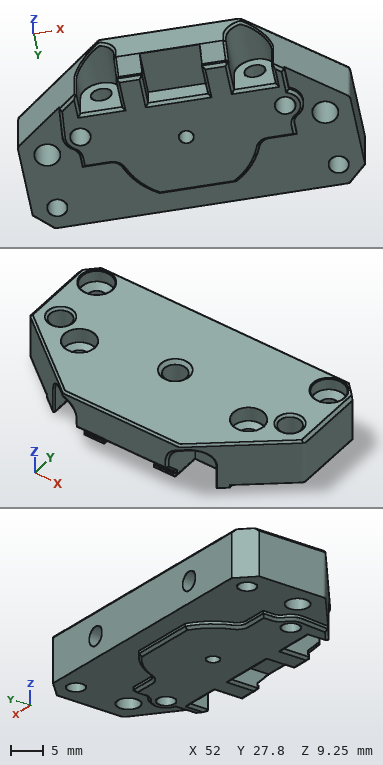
import cadquery as cq
import math

body_length = 52.0
body_height = 8.3
back_y = 13.55
front_y = -14.25
shoulder_y = -2.2
front_edge_length = 22.05
back_corner_cut = 3.0
vertical_edge_radius = 1.0
front_top_chamfer = 0.35
side_top_chamfer = 0.5

pad_height = 0.95
pad_chamfer = 0.45
pad_disc_radius = 11.45
pad_back_y = 9.8
pad_front_y = -12.2
wing_half_width = 16.75
wing_back_y = 2.85
wing_fillet = 1.75
wing_boss_radius = 2.8
left_flank_x = 18.35
right_flank_x = 17.05

pocket_x = 12.0
pocket_width = 6.5
pocket_axis_z = 3.8
pocket_depth = 7.3
pocket_mouth_chamfer = 0.39
cross_hole_diameter = 3.3

relief_height = 2.55
relief_step_height = 0.3
slot_width = 9.35
slot_height = 2.5
slot_depth = 7.3

corner_hole_x = 22.0
corner_hole_y = 9.9
corner_hole_diameter = 3.1
corner_head_depth = 2.25
corner_rim_chamfer = 0.15
screw_hole_x = 16.0
screw_hole_y = -2.95
screw_hole_diameter = 3.15
screw_head_depth = 2.7
head_diameter = 5.7
corner_cone_height = 0.8
screw_cone_height = 0.5
center_cone_height = 0.9
dowel_hole_x = 21.75
dowel_hole_diameter = 4.0
dowel_rim_chamfer = 0.4
center_hole_diameter = 2.3
center_bore_diameter = 4.1
center_bore_depth = 4.15
center_rim_chamfer = 0.6

edge_margin = 0.25

half_length = body_length / 2
half_front = front_edge_length / 2
flank_slope = (shoulder_y - front_y) / (half_length - half_front)
pad_bottom_z = -pad_height


def flank_y(x):
    """Y of the oblique front flank at a given X."""
    return shoulder_y - (half_length - abs(x)) * flank_slope


def box_between(x_range, y_range, z_range):
    """Axis-aligned box given by its limits."""
    size = [high - low for low, high in (x_range, y_range, z_range)]
    low_corner = (x_range[0], y_range[0], z_range[0])
    return cq.Workplane("XY").box(*size, centered=False).translate(low_corner)


def make_body():
    outline = [
        (-half_length, back_y),
        (-half_length, shoulder_y),
        (-half_front, front_y),
        (half_front, front_y),
        (half_length, shoulder_y),
        (half_length, back_y),
    ]
    body = cq.Workplane("XY").polyline(outline).close().extrude(body_height)
    body = body.edges("|Z and (not >Y)").fillet(vertical_edge_radius)
    return body.faces(">Z").edges().chamfer(front_top_chamfer)


def top_edge_bevel(workplane, edge_position, inward):
    """Triangular prism that bevels a long top edge of the body."""
    return (
        cq.Workplane(workplane)
        .moveTo(edge_position, body_height)
        .lineTo(edge_position + inward * side_top_chamfer, body_height)
        .lineTo(edge_position, body_height - side_top_chamfer)
        .close()
        .extrude(body_length, both=True)
    )


def corner_cut(side):
    return (
        cq.Workplane("XY")
        .moveTo(side * half_length, back_y)
        .lineTo(side * (half_length - back_corner_cut), back_y)
        .lineTo(side * half_length, back_y - back_corner_cut)
        .close()
        .extrude(body_height)
    )


def make_pad_disc():
    disc = cq.Workplane("XY").circle(pad_disc_radius).extrude(-pad_height)
    return disc.intersect(box_between(
        (-pad_disc_radius, pad_disc_radius), (pad_front_y, pad_back_y), (-pad_height, 0)
    ))


def left_flank_tangent():
    """Point where a line from the left flank end touches the outside of the screw boss."""
    to_x = left_flank_x - screw_hole_x
    to_y = flank_y(left_flank_x) - screw_hole_y
    distance = math.hypot(to_x, to_y)
    angle = math.atan2(to_y, to_x) + math.acos(wing_boss_radius / distance)
    return (
        screw_hole_x + wing_boss_radius * math.cos(angle),
        screw_hole_y + wing_boss_radius * math.sin(angle),
    )


def make_wing(side, flank_x, boss_point):
    """Half of the front wing; its outer front end lies flush with the oblique flank of the body."""
    front_corner_x = half_front + (pad_front_y - front_y) / flank_slope
    half_outline = [
        (0, wing_back_y),
        (wing_half_width, wing_back_y),
        (wing_half_width, screw_hole_y),
        boss_point,
        (flank_x, flank_y(flank_x)),
        (front_corner_x, pad_front_y),
        (0, pad_front_y),
    ]
    points = [(side * x, y) for x, y in half_outline]
    wing = cq.Workplane("XY").polyline(points).close().extrude(-pad_height)
    boss = cq.Workplane("XY").center(side * screw_hole_x, screw_hole_y)
    return wing.union(boss.circle(wing_boss_radius).extrude(-pad_height))


def make_pad():
    right_wing = make_wing(1, right_flank_x, (right_flank_x, screw_hole_y))
    left_wing = make_wing(-1, left_flank_x, left_flank_tangent())
    pad = make_pad_disc().union(left_wing).union(right_wing).clean()
    disc_corner_x = math.sqrt(pad_disc_radius**2 - wing_back_y**2)
    boss_reach = math.sqrt(wing_boss_radius**2 - (wing_half_width - screw_hole_x) ** 2)
    inner_corners = [(disc_corner_x, wing_back_y), (wing_half_width, screw_hole_y + boss_reach)]
    for x, y in inner_corners:
        for side in (-1, 1):
            corner = cq.selectors.NearestToPointSelector((side * x, y, -pad_height / 2))
            pad = pad.edges("|Z").edges(corner).fillet(wing_fillet)
    return pad


def arched_pocket(side):
    rectangle = box_between(
        (-pocket_width / 2, pocket_width / 2), (front_y, front_y + pocket_depth), (-pad_height, pocket_axis_z)
    )
    arch = (
        cq.Workplane("XZ", origin=(0, front_y, pocket_axis_z))
        .circle(pocket_width / 2)
        .extrude(-pocket_depth)
    )
    return rectangle.union(arch).translate((side * pocket_x, 0, 0))


def cross_hole(side):
    return (
        cq.Workplane("XZ", origin=(side * pocket_x, front_y, pocket_axis_z))
        .circle(cross_hole_diameter / 2)
        .extrude(front_y - back_y)
    )


def front_relief():
    """Sloped undercut between the two pockets, ending in a low step in front of the pad."""
    step_y = front_y + relief_height - relief_step_height
    return (
        cq.Workplane("YZ")
        .polyline([
            (front_y, 0),
            (front_y, relief_height),
            (step_y, relief_step_height),
            (step_y, 0),
        ])
        .close()
        .extrude(pocket_x, both=True)
    )


def headed_hole(x, y, diameter, bore_diameter, bore_depth, cone_height):
    """Through hole under a wider bore, joined by a conical floor."""
    radius = diameter / 2
    bore_radius = bore_diameter / 2
    bore_floor = body_height - bore_depth
    half_profile = [
        (0, pad_bottom_z),
        (radius, pad_bottom_z),
        (radius, bore_floor - cone_height),
        (bore_radius, bore_floor),
        (bore_radius, body_height),
        (0, body_height),
    ]
    hole = cq.Workplane("XZ").polyline(half_profile).close().revolve(360, (0, 0, 0), (0, 1, 0))
    return hole.translate((x, y, 0))


def plain_hole(x, y, diameter):
    through = cq.Workplane("XY", origin=(x, y, pad_bottom_z))
    return through.circle(diameter / 2).extrude(pad_height + body_height)


def rim_bevel(x, y, diameter, bevel):
    """45 degree cone that breaks the top rim of a hole."""
    top_radius = diameter / 2 + bevel
    cone = cq.Solid.makeCone(diameter / 2, top_radius, bevel, pnt=cq.Vector(x, y, body_height - bevel))
    return cq.Workplane(cone)


def bevel_pocket_mouth(body, side):
    """Bevel the edges where a pocket breaks through the front and flank faces."""
    reach = pocket_width / 2 + edge_margin
    region = cq.selectors.BoxSelector(
        (side * pocket_x - reach, front_y - edge_margin, 0),
        (side * pocket_x + reach, flank_y(pocket_x + reach) + edge_margin, pocket_axis_z + pocket_width / 2),
    )
    return body.edges(region).edges("not |Y").chamfer(pocket_mouth_chamfer)


def bevel_pad_mouth(pad, side):
    """Continue the pocket mouth bevel down the outer corners of the pad."""
    inner_x = pocket_x - pocket_width / 2
    outer_x = pocket_x + pocket_width / 2
    for x, y in ((inner_x, pad_front_y), (outer_x, flank_y(outer_x))):
        corner = cq.selectors.NearestToPointSelector((side * x, y, -pad_height / 2))
        pad = pad.edges("|Z").edges(corner).chamfer(pocket_mouth_chamfer)
    return pad


slot = box_between(
    (-slot_width / 2, slot_width / 2),
    (front_y, front_y + slot_depth),
    (pad_bottom_z, slot_height),
)

body = make_body().cut(top_edge_bevel("YZ", back_y, -1)).cut(front_relief())
for side in (-1, 1):
    body = body.cut(top_edge_bevel("XZ", side * half_length, -side))
    body = body.cut(corner_cut(side))
    body = body.cut(arched_pocket(side))
    body = bevel_pocket_mouth(body, side)
body = body.cut(slot)

pad = make_pad().cut(slot)
for side in (-1, 1):
    pad = pad.cut(arched_pocket(side))
pad = pad.faces("<Z").edges().chamfer(pad_chamfer)
for side in (-1, 1):
    pad = bevel_pad_mouth(pad, side)

result = body.union(pad)

for side in (-1, 1):
    corner_x = side * corner_hole_x
    screw_x = side * screw_hole_x
    dowel_x = side * dowel_hole_x
    result = result.cut(cross_hole(side))
    result = result.cut(headed_hole(
        corner_x, corner_hole_y, corner_hole_diameter, head_diameter, corner_head_depth, corner_cone_height
    ))
    result = result.cut(rim_bevel(corner_x, corner_hole_y, head_diameter, corner_rim_chamfer))
    result = result.cut(headed_hole(
        screw_x, screw_hole_y, screw_hole_diameter, head_diameter, screw_head_depth, screw_cone_height
    ))
    result = result.cut(plain_hole(dowel_x, 0, dowel_hole_diameter))
    result = result.cut(rim_bevel(dowel_x, 0, dowel_hole_diameter, dowel_rim_chamfer))
result = result.cut(headed_hole(
    0, 0, center_hole_diameter, center_bore_diameter, center_bore_depth, center_cone_height
))
result = result.cut(rim_bevel(0, 0, center_bore_diameter, center_rim_chamfer))